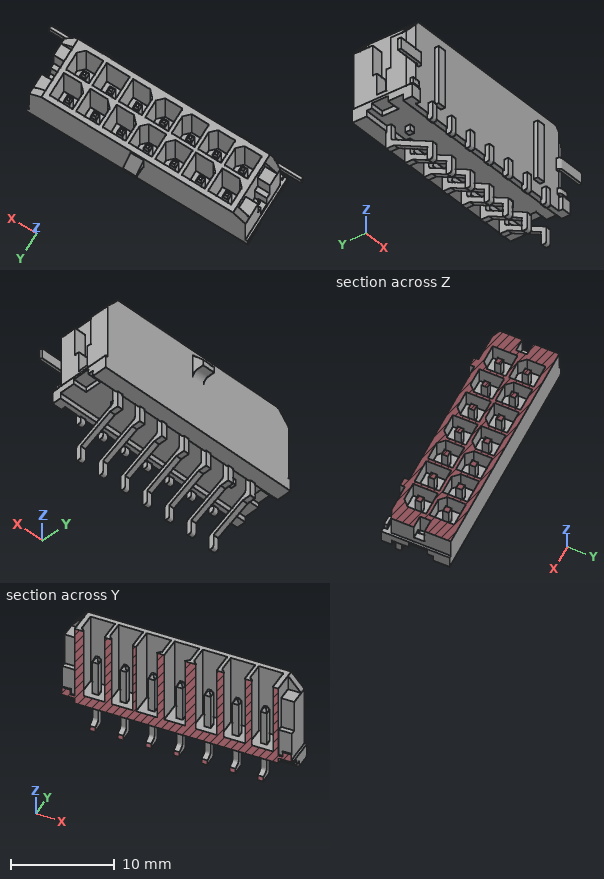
import cadquery as cq


overall_length = 28.65
housing_depth = 6.82
housing_height = 9.9
overall_height = 15.4
core_half_width = 10.9
front_half_width = 11.32
wing_half_width = 12.3
corner_depth = 0.43
shoulder_height = 8.28
front_overhang = 0.52

upper_recess = (0.97, 6.05, shoulder_height)
wide_slot = (2.32, 4.5, 4.75)
narrow_slot = (2.86, 3.98, 2.25)
slot_pit_depth = 0.57
slot_pit_width = 0.83
slot_pit_length = 0.72
slot_pit_mouth_length = 0.43

flange_half_width = 12.55
flange_height = 1.58
channel_front = 0.6
channel_back = 5.05
channel_height = 0.7
end_notch_front = 2.44
end_notch_back = 4.4
end_notch_height = 1.3
post_size = 0.63
post_y = 3.4

rib_center = 7.85
rib_width = 1.0
rib_bottom = 1.55

columns = 7
column_span = 18.0
pitch = column_span / (columns - 1)
column_positions = [(i - (columns - 1) / 2) * pitch for i in range(columns)]
pocket_size = 2.6
pocket_corner = 0.65
pocket_floor = 2.0
front_pocket_y = 1.92
back_pocket_y = front_pocket_y + pitch
front_key_sides = [1, 1, 1, 1, -1, 0, 1]
back_key_sides = [-1, -1, 1, 1, -1, -1, -1]
pin_size = 0.65
pin_tip_size = 0.3
pin_point_length = 0.45
pin_top = 6.3
front_pin_y = 1.92
back_pin_y = 4.87

lead_tip_radius = 0.23
front_lead_top = 1.23
front_lead_bottom = -0.77
back_lead_bottom = housing_height - overall_height
back_lead_knee = -1.98
back_lead_knee_end = 4.15
lower_bend_inner = -3.9
lower_bend_outer = -3.52
upper_bend_inner = -1.15
upper_bend_radius = 0.37

strip_thickness = 0.37
large_tab = {
    "inner": core_half_width,
    "tip": overall_length / 2,
    "bottom": 4.65,
    "top": 5.95,
    "front": front_overhang,
}
small_tab = {
    "inner": 11.05,
    "tip": 12.23,
    "bottom": 1.85,
    "top": 2.52,
    "front": strip_thickness,
}
fold_radius = 0.35

latch_width = 1.5
latch_reach = 1.43
latch_top = 9.25
latch_nose_top = 7.7
latch_nose_bottom = 7.0
latch_root_bottom = 6.42
latch_round = 0.7


def block(x_range, y_range, z_range):
    """Box given by its limits along each axis."""
    sizes = [limits[1] - limits[0] for limits in (x_range, y_range, z_range)]
    corner = (x_range[0], y_range[0], z_range[0])
    return cq.Workplane("XY").box(*sizes, centered=False).translate(corner)


def centered_block(x, width, y_range, z_range):
    return block((x - width / 2, x + width / 2), y_range, z_range)


def both_ends(right_half):
    """A feature of the right end together with its mirror image at the left end."""
    return right_half.union(right_half.mirror("YZ"))


def across_x(x, width):
    """YZ sketch plane for a body of the given width centred on x."""
    return cq.Workplane("YZ", origin=(x - width / 2, 0, 0))


def make_shell():
    """Housing with slanted front corners, sloped top corners and end recesses."""
    plan = (
        cq.Workplane("XY")
        .polyline([
            (-front_half_width, 0),
            (front_half_width, 0),
            (wing_half_width, corner_depth),
            (wing_half_width, housing_depth),
            (-wing_half_width, housing_depth),
            (-wing_half_width, corner_depth),
        ])
        .close()
        .extrude(housing_height)
    )
    elevation = (
        cq.Workplane("XZ")
        .polyline([
            (-wing_half_width, 0),
            (wing_half_width, 0),
            (wing_half_width, shoulder_height),
            (core_half_width, housing_height),
            (-core_half_width, housing_height),
            (-wing_half_width, shoulder_height),
        ])
        .close()
        .extrude(-housing_depth)
    )
    shell = plan.intersect(elevation)
    for front, back, bottom in (upper_recess, wide_slot, narrow_slot):
        recess = block((core_half_width, wing_half_width), (front, back), (bottom, housing_height))
        shell = shell.cut(both_ends(recess))
    return shell


def make_flanges():
    """Thicker foot of each end, standing out at the side and at the front."""
    flange = block(
        (front_half_width, flange_half_width), (-front_overhang, housing_depth), (0, flange_height)
    )
    return both_ends(flange)


def cut_underside(body):
    """Long channel, blind notch in each end, and T-shaped pit in the floor of each end slot."""
    channel = block(
        (-flange_half_width, flange_half_width), (channel_front, channel_back), (0, channel_height)
    )
    notch = block(
        (core_half_width, flange_half_width),
        (end_notch_front, end_notch_back),
        (channel_height, end_notch_height),
    )
    slot_middle = (narrow_slot[0] + narrow_slot[1]) / 2
    pit = block(
        (core_half_width, core_half_width + slot_pit_length),
        (slot_middle - slot_pit_width / 2, slot_middle + slot_pit_width / 2),
        (narrow_slot[2] - slot_pit_depth, narrow_slot[2]),
    )
    pit_mouth = block(
        (core_half_width, core_half_width + slot_pit_mouth_length),
        narrow_slot[:2],
        (narrow_slot[2] - slot_pit_depth, narrow_slot[2]),
    )
    pit = pit.union(pit_mouth)
    return body.cut(channel).cut(both_ends(notch)).cut(both_ends(pit))


def make_posts_and_ribs():
    """Posts in the underside channel and upright ribs on the front wall."""
    post = centered_block(
        rib_center, post_size, (post_y - post_size / 2, post_y + post_size / 2), (0, channel_height)
    )
    rib = centered_block(rib_center, rib_width, (-front_overhang, 0), (rib_bottom, shoulder_height))
    return both_ends(post.union(rib))


def make_latch():
    """Ramp with a square nose and a hollow round underneath."""
    nose = housing_depth + latch_reach
    return (
        across_x(0, latch_width)
        .moveTo(housing_depth, latch_top)
        .lineTo(nose, latch_nose_top)
        .lineTo(nose, latch_nose_bottom)
        .lineTo(housing_depth + latch_round, latch_nose_bottom)
        .radiusArc((housing_depth, latch_root_bottom), -latch_round)
        .close()
        .extrude(latch_width)
    )


def make_pocket(x, y, key_side):
    """Square contact pocket; its key, if any, is one cut-off front corner."""
    pocket = centered_block(
        x, pocket_size, (y - pocket_size / 2, y + pocket_size / 2), (pocket_floor, housing_height)
    )
    if key_side == 0:
        return pocket
    key_corner = ">X and <Y" if key_side > 0 else "<X and <Y"
    return pocket.edges("|Z").edges(key_corner).chamfer(pocket_corner)


def make_pin(x, y):
    """Square contact pin with a blunt pyramid point."""
    shaft_top = pin_top - pin_point_length
    shaft = centered_block(
        x, pin_size, (y - pin_size / 2, y + pin_size / 2), (pocket_floor, shaft_top)
    )
    point = (
        cq.Workplane("XY", origin=(x, y, shaft_top))
        .rect(pin_size, pin_size)
        .workplane(offset=pin_point_length)
        .rect(pin_tip_size, pin_tip_size)
        .loft()
    )
    return shaft.union(point)


def make_front_lead(x):
    """Straight lead standing against the front wall."""
    lead = centered_block(
        x,
        pin_size,
        (-front_overhang, pin_size - front_overhang),
        (front_lead_bottom, front_lead_top),
    )
    return lead.edges("|X and <Z").fillet(lead_tip_radius)


def make_back_lead(x):
    """Lead that leaves the channel, slopes to the front and turns down again."""
    back = back_pin_y + pin_size / 2
    front = back_pin_y - pin_size / 2
    lead = (
        across_x(x, pin_size)
        .moveTo(back, channel_height)
        .lineTo(back, back_lead_knee)
        .lineTo(back_lead_knee_end, back_lead_knee)
        .lineTo(pin_size - front_overhang, lower_bend_inner)
        .lineTo(pin_size - front_overhang, back_lead_bottom)
        .lineTo(-front_overhang, back_lead_bottom)
        .lineTo(-front_overhang, lower_bend_outer)
        .lineTo(front, upper_bend_inner)
        .lineTo(front, channel_height)
        .close()
        .extrude(pin_size)
    )
    bend_point = (x, front, upper_bend_inner)
    lead = lead.edges(cq.selectors.NearestToPointSelector(bend_point)).fillet(upper_bend_radius)
    return lead.edges("|X and <Z").fillet(lead_tip_radius)


def make_tab(inner, tip, bottom, top, front):
    """Strip that comes out of the front wall and folds sideways."""
    leg = block((inner, inner + strip_thickness), (-front, strip_thickness), (bottom, top))
    strip = block((inner, tip), (-front, strip_thickness - front), (bottom, top))
    tab = leg.union(strip)
    return both_ends(tab.edges("|Z and <X").edges("<Y").fillet(fold_radius))


result = cut_underside(make_shell().union(make_flanges()))
result = result.union(make_posts_and_ribs()).union(make_latch())

rows = (
    (front_pocket_y, front_pin_y, front_key_sides, make_front_lead),
    (back_pocket_y, back_pin_y, back_key_sides, make_back_lead),
)
for pocket_y, pin_y, key_sides, make_lead in rows:
    for column_x, key_side in zip(column_positions, key_sides):
        result = result.cut(make_pocket(column_x, pocket_y, key_side))
        result = result.union(make_pin(column_x, pin_y))
        result = result.union(make_lead(column_x))

for tab_sizes in (large_tab, small_tab):
    result = result.union(make_tab(**tab_sizes))